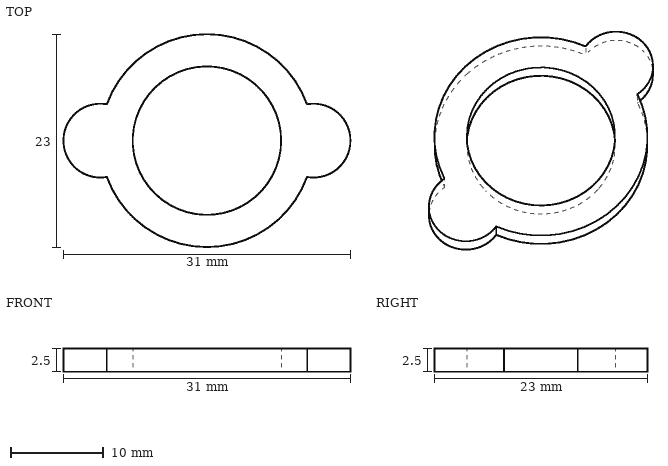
import cadquery as cq

overall_length = 31.0
ring_diameter = 23.0
bore_diameter = 16.0
lug_radius = 4.0
thickness = 2.5

lug_center_x = overall_length / 2 - lug_radius


def disc(radius, center_x=0.0):
    """Flat disc of the common thickness, resting on Z = 0."""
    return cq.Workplane("XY").center(center_x, 0).circle(radius).extrude(thickness)


body = disc(ring_diameter / 2)
for side in (-1, 1):
    body = body.union(disc(lug_radius, side * lug_center_x))

result = body.cut(disc(bore_diameter / 2))